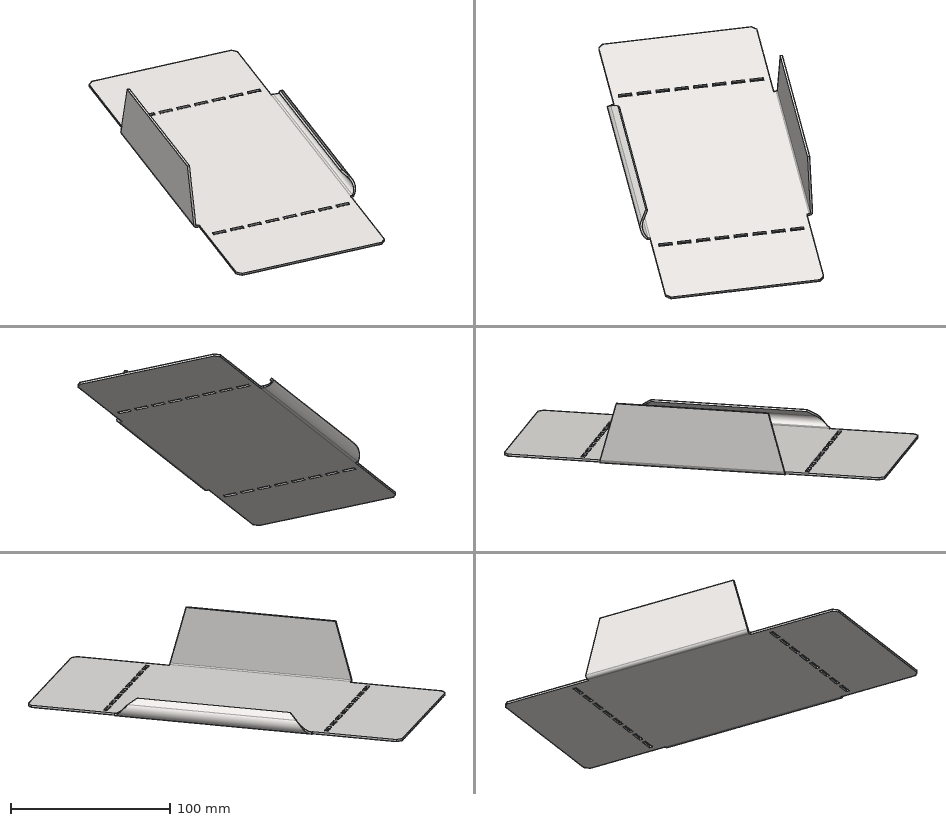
import cadquery as cq
import math

thickness = 1.5

plate_length = 245.0
plate_width = 101.0
corner_chamfer = 3.0

slot_row_x = 72.3
slot_length = 8.3
slot_width = 2.2
slot_pitch = 12.0
slots_per_row = 8

flange_overhang = 3.7
flange_height = 40.0
flange_base_width = 118.8
flange_top_width = 98.0
flange_bend_radius = 2.2

lip_base_width = 129.0
lip_outer_radius = 5.5
lip_bend_angle = math.radians(135)
lip_leaf_length = 5.1
lip_square_length = 1.7

plate_edge_y = plate_width / 2
lip_inner_radius = lip_outer_radius - thickness
lip_mid_radius = lip_outer_radius - thickness / 2
lip_bend_length = lip_mid_radius * lip_bend_angle
lip_length = lip_bend_length + lip_leaf_length


def make_plate():
    plate = cq.Workplane("XY").box(plate_length, plate_width, thickness, centered=(True, True, False))
    plate = plate.edges("|Z").chamfer(corner_chamfer)
    slots = (
        cq.Workplane("XY")
        .rarray(2 * slot_row_x, slot_pitch, 2, slots_per_row)
        .rect(slot_width, slot_length)
        .extrude(thickness)
    )
    return plate.cut(slots)


def make_flange():
    outer_y = -plate_edge_y - flange_overhang
    bend_y = outer_y + flange_bend_radius
    inner_radius = flange_bend_radius - thickness
    diagonal = math.sqrt(0.5)
    bent_strip = (
        cq.Workplane("YZ")
        .moveTo(-plate_edge_y + thickness, 0)
        .lineTo(bend_y, 0)
        .threePointArc(
            (bend_y - flange_bend_radius * diagonal, flange_bend_radius * (1 - diagonal)),
            (outer_y, flange_bend_radius),
        )
        .lineTo(outer_y, flange_height)
        .lineTo(outer_y + thickness, flange_height)
        .lineTo(outer_y + thickness, flange_bend_radius)
        .threePointArc(
            (bend_y - inner_radius * diagonal, flange_bend_radius - inner_radius * diagonal),
            (bend_y, thickness),
        )
        .lineTo(-plate_edge_y + thickness, thickness)
        .close()
        .extrude(flange_base_width / 2, both=True)
    )
    outline = (
        cq.Workplane("XZ")
        .polyline([
            (-flange_base_width / 2, 0),
            (flange_base_width / 2, 0),
            (flange_base_width / 2, flange_bend_radius),
            (flange_top_width / 2, flange_height),
            (-flange_top_width / 2, flange_height),
            (-flange_base_width / 2, flange_bend_radius),
        ])
        .close()
        .extrude(plate_width, both=True)
    )
    return bent_strip.intersect(outline)


def lip_point(distance, radius, side):
    """Point on an end of the lip, at a distance along the sheet from the plate edge."""
    angle = min(distance, lip_bend_length) / lip_mid_radius
    straight = max(distance - lip_bend_length, 0)
    half_width = lip_base_width / 2 - max(distance - lip_square_length, 0)
    return cq.Vector(
        side * half_width,
        plate_edge_y + radius * math.sin(angle) + straight * math.cos(angle),
        lip_outer_radius - radius * math.cos(angle) + straight * math.sin(angle),
    )


def lip_piece(start, end, edge_steps):
    """Solid stretch of the lip, bounded by ruled faces between its four long edges."""
    sections = [(-1, lip_outer_radius), (1, lip_outer_radius), (1, lip_inner_radius), (-1, lip_inner_radius)]
    edges = []
    for side, radius in sections:
        distances = [start + (end - start) * i / edge_steps for i in range(edge_steps + 1)]
        points = [lip_point(distance, radius, side) for distance in distances]
        if edge_steps == 1:
            edges.append(cq.Edge.makeLine(*points))
        else:
            edges.append(cq.Edge.makeSpline(points))
    faces = [cq.Face.makeRuledSurface(edges[i - 1], edges[i]) for i in range(len(edges))]
    for distance in (start, end):
        corners = [lip_point(distance, radius, side) for side, radius in sections]
        faces.append(cq.Face.makeFromWires(cq.Wire.makePolygon(corners, close=True)))
    solid = cq.Solid.makeSolid(cq.Shell.makeShell(faces))
    return cq.Workplane(solid.fix())


def make_lip():
    curve_steps = 12
    square_bend = lip_piece(0, lip_square_length, curve_steps)
    tapered_bend = lip_piece(lip_square_length, lip_bend_length, curve_steps)
    leaf = lip_piece(lip_bend_length, lip_length, 1)
    return square_bend.union(tapered_bend).union(leaf)


result = make_plate().union(make_flange()).union(make_lip())